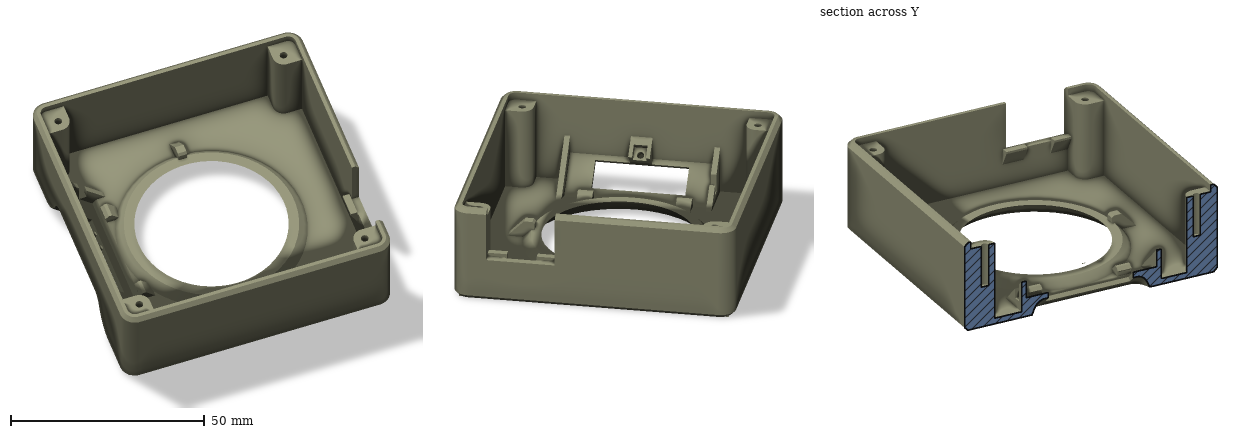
import cadquery as cq
import math

ROOT2 = math.sqrt(2)

SIDE = 74.0
HEIGHT = 25.5
CORNER_RADIUS = 4.0
WALL = 2.0
FLOOR = 1.8
EDGE_CHAMFER = 1.0
HALF = SIDE / 2
INNER = HALF - WALL

POST_INSET = 6.0
POST_RADIUS = 2.95
POST_TOP_DROP = 2.0
SCREW_HOLE_DIAMETER = 2.0
SCREW_HOLE_DEPTH = 11.85
POST_CENTRE = HALF - POST_INSET
POST_FACE = POST_CENTRE - POST_RADIUS
POST_TOP = HEIGHT - POST_TOP_DROP

OPENING_RADIUS = 20.0
RING_TOP_RADIUS = 22.7
RING_TOP = 4.0
RING_FOOT_RADIUS = RING_TOP_RADIUS + RING_TOP - FLOOR

CATCH_WIDTH = 2.4
CATCH_NOSE = 21.9
CATCH_FOOT = 29.1
CATCH_TOP = 6.2
CATCH_CHAMFER = 0.6

NOTCH_LEFT = 10.0
NOTCH_SILL = 11.55
HOOK_TOP_RISE = 1.0
HOOK_SETBACK = 0.3
HOOK_REACH = 2.15
HOOK_NOSE_HEIGHT = 0.6
HOOK_HEIGHT = 4.6
HOOK_SPANS = [(8.95, 15.2), (23.0, POST_FACE)]

RAMP_OUTER = -27.15
RAMP_INNER = -25.45
RAMP_THICKNESS = (RAMP_INNER - RAMP_OUTER) / ROOT2
RAMP_LEFT = -18.9
RAMP_RIGHT = 19.2
RAMP_EDGE_Y = -24.8

BELL_FLAT_HALF = 13.55
BELL_TOP_RADIUS = 3.55
BELL_FLARE_RADIUS = 8.15

WINDOW_WIDTH = 24.7
WINDOW_LOW_Z = 2.15
WINDOW_HIGH_Z = 7.6

RIB_THICKNESS = 1.5
RIB_TOP = -20.65
CABLE_NOTCH_FRONT = -29.7
CABLE_NOTCH_BACK = -27.6

BOARD_HOOK_CENTRE = 13.0
BOARD_HOOK_WIDTH = 4.0
BOARD_HOOK_TOP = 4.3
BOARD_HOOK_FLAT_BACK = -23.4
BOARD_HOOK_FLAT_FRONT = -24.3
BOARD_HOOK_TIP = -25.15

BOSS_CENTRE = 0.3
BOSS_WIDTH = 5.7
BOSS_HEIGHT = 4.3
BOSS_ARM = 1.0
BOSS_CHANNEL_DEPTH = 1.9
BOSS_CHANNEL_LENGTH = 3.55
BOSS_HOLE_DIAMETER = 1.85
BOSS_HOLE_SETBACK = 1.4
BOSS_LENGTH = 7.4


def block(x0, x1, y0, y1, z0, z1):
    return cq.Workplane("XY").box(x1 - x0, y1 - y0, z1 - z0, centered=False).translate((x0, y0, z0))


def prism_along_x(points, x0, x1):
    """Extrude a (y, z) outline from x0 to x1."""
    return cq.Workplane("YZ").polyline(points).close().extrude(x1 - x0).translate((x0, 0, 0))


def revolved(outline):
    """Turn an (r, z) outline about the Z axis."""
    return cq.Workplane("XZ").polyline(outline).close().revolve(360, (0, 0), (0, 1))


def ramp_workplane(level):
    """Plane y + z = level through z = 0: local x is -X, local y climbs the slope."""
    plane = cq.Plane(origin=(0, level, 0), xDir=(-1, 0, 0), normal=(0, 1, 1))
    return cq.Workplane(plane)


def shell():
    body = cq.Workplane("XY").box(SIDE, SIDE, HEIGHT, centered=(True, True, False))
    body = body.edges("|Z").fillet(CORNER_RADIUS)
    body = body.faces(">Z").chamfer(EDGE_CHAMFER)
    body = body.faces("<Z").chamfer(EDGE_CHAMFER)
    cavity = cq.Workplane("XY").box(2 * INNER, 2 * INNER, HEIGHT, centered=(True, True, False))
    cavity = cavity.edges("|Z").fillet(CORNER_RADIUS - WALL)
    return body.cut(cavity.translate((0, 0, FLOOR)))


def corner_posts():
    """Four posts against the wall corners, each rounded on the side facing the middle."""
    buried = INNER + WALL / 4
    posts = cq.Workplane("XY")
    for sign_x in (-1, 1):
        for sign_y in (-1, 1):
            post = block(POST_FACE, buried, POST_FACE, buried, 0, POST_TOP)
            post = post.edges("|Z and <X and <Y").fillet(POST_RADIUS)
            hole = cq.Workplane("XY").center(POST_CENTRE, POST_CENTRE).circle(SCREW_HOLE_DIAMETER / 2)
            hole = hole.extrude(SCREW_HOLE_DEPTH).translate((0, 0, POST_TOP - SCREW_HOLE_DEPTH))
            post = post.cut(hole)
            if sign_x < 0:
                post = post.mirror("YZ")
            if sign_y < 0:
                post = post.mirror("XZ")
            posts = posts.add(post)
    return posts.combine()


def ring():
    """Disc with a 45-degree rim that stands above the floor."""
    return revolved([
        (0, 0),
        (RING_FOOT_RADIUS, 0),
        (RING_FOOT_RADIUS, FLOOR),
        (RING_TOP_RADIUS, RING_TOP),
        (0, RING_TOP),
    ])


def opening():
    """Conical opening, widening at 45 degrees from the top of the ring to the underside."""
    return revolved([(0, 0), (OPENING_RADIUS + RING_TOP, 0), (OPENING_RADIUS, RING_TOP), (0, RING_TOP)])


def ring_catches():
    top_back = CATCH_FOOT - (CATCH_TOP - FLOOR)
    outline = [
        (CATCH_NOSE, RING_TOP),
        (CATCH_NOSE, CATCH_TOP - CATCH_CHAMFER),
        (CATCH_NOSE + CATCH_CHAMFER, CATCH_TOP),
        (top_back, CATCH_TOP),
        (CATCH_FOOT, FLOOR),
        (CATCH_FOOT, FLOOR / 2),
        (RING_FOOT_RADIUS, FLOOR / 2),
    ]
    catch = cq.Workplane("XZ").polyline(outline).close().extrude(CATCH_WIDTH / 2, both=True)
    return catch.union(catch.mirror("YZ"))


def back_notch():
    return block(NOTCH_LEFT, POST_FACE, INNER, HALF, NOTCH_SILL, HEIGHT)


def back_hooks():
    top = NOTCH_SILL + HOOK_TOP_RISE
    buried = INNER + WALL / 2
    outline = [
        (buried, NOTCH_SILL),
        (INNER - HOOK_SETBACK, NOTCH_SILL),
        (INNER - HOOK_SETBACK, top),
        (INNER - HOOK_REACH, top),
        (INNER - HOOK_REACH, top - HOOK_NOSE_HEIGHT),
        (INNER, top - HOOK_HEIGHT),
        (buried, top - HOOK_HEIGHT),
    ]
    hooks = cq.Workplane("XY")
    for x0, x1 in HOOK_SPANS:
        hooks = hooks.add(prism_along_x(outline, x0, x1))
    return hooks.combine()


def ramp_wedge(level, x0, x1):
    """Solid below the plane y + z = level, rooted in the floor and the front wall."""
    buried = INNER + WALL / 2
    outline = [(-buried, FLOOR / 2), (level - FLOOR / 2, FLOOR / 2), (-buried, level + buried)]
    return prism_along_x(outline, x0, x1)


def ramp_pocket():
    """Floor material removed above the ramp's inner plane."""
    depth = (RAMP_EDGE_Y + FLOOR - RAMP_INNER) / 2
    outline = [
        (RAMP_EDGE_Y, FLOOR),
        (RAMP_EDGE_Y - depth, FLOOR - depth),
        (RAMP_INNER - FLOOR, FLOOR),
    ]
    return prism_along_x(outline, RAMP_LEFT, RAMP_RIGHT)


def bell_recess():
    """Bell outline, square to the ramp, swept up the slope and out of the front wall."""
    depth = (RAMP_OUTER + HALF - EDGE_CHAMFER) / ROOT2
    angle = math.acos(1 - depth / (BELL_TOP_RADIUS + BELL_FLARE_RADIUS))

    def on_shoulder(a):
        return BELL_FLAT_HALF + BELL_TOP_RADIUS * math.sin(a), -BELL_TOP_RADIUS * (1 - math.cos(a))

    end_x = BELL_FLAT_HALF + (BELL_TOP_RADIUS + BELL_FLARE_RADIUS) * math.sin(angle)

    def on_flare(a):
        return end_x - BELL_FLARE_RADIUS * math.sin(a), -depth + BELL_FLARE_RADIUS * (1 - math.cos(a))

    slope = cq.Plane(origin=(0, RAMP_OUTER, 0), xDir=(1, 0, 0), normal=(0, -1, 1))
    half_bell = (
        cq.Workplane(slope)
        .lineTo(BELL_FLAT_HALF, 0)
        .threePointArc(on_shoulder(angle / 2), on_shoulder(angle))
        .threePointArc(on_flare(angle / 2), (end_x, -depth))
        .lineTo(0, -depth)
        .close()
        .extrude(HALF, both=True)
    )
    return half_bell.union(half_bell.mirror("YZ"))


def window():
    """Rectangular opening cut square through the ramp."""
    low = WINDOW_LOW_Z * ROOT2
    high = WINDOW_HIGH_Z * ROOT2
    outline = ramp_workplane(RAMP_OUTER).center(0, (low + high) / 2).rect(WINDOW_WIDTH, high - low)
    return outline.extrude(RAMP_THICKNESS)


def ribs():
    outer_left = RAMP_LEFT - RIB_THICKNESS
    left = ramp_wedge(RIB_TOP, outer_left, RAMP_LEFT)
    right = ramp_wedge(RIB_TOP, RAMP_RIGHT, RAMP_RIGHT + RIB_THICKNESS)
    notch_bottom = RAMP_INNER - CABLE_NOTCH_FRONT
    notch = block(outer_left, RAMP_LEFT, CABLE_NOTCH_FRONT, CABLE_NOTCH_BACK, notch_bottom, HEIGHT)
    return left.cut(notch).union(right)


def board_hooks():
    drop = BOARD_HOOK_FLAT_FRONT - BOARD_HOOK_TIP
    tip_z = BOARD_HOOK_TOP - drop
    undercut = RAMP_EDGE_Y - BOARD_HOOK_TIP
    outline = [
        (RAMP_EDGE_Y, FLOOR / 2),
        (RAMP_EDGE_Y, tip_z - undercut),
        (BOARD_HOOK_TIP, tip_z),
        (BOARD_HOOK_FLAT_FRONT, BOARD_HOOK_TOP),
        (BOARD_HOOK_FLAT_BACK, BOARD_HOOK_TOP),
        (BOARD_HOOK_FLAT_BACK + BOARD_HOOK_TOP - FLOOR, FLOOR),
    ]
    inner = BOARD_HOOK_CENTRE - BOARD_HOOK_WIDTH / 2
    hook = prism_along_x(outline, inner, inner + BOARD_HOOK_WIDTH)
    return hook.union(hook.mirror("YZ"))


def screw_boss():
    """Boss rising square to the ramp from the upper edge of the window, channelled for a screw."""
    foot = WINDOW_HIGH_Z * ROOT2
    channel_middle = foot + BOSS_CHANNEL_LENGTH / 2
    channel_width = BOSS_WIDTH - 2 * BOSS_ARM
    channel_floor = RAMP_THICKNESS + BOSS_HEIGHT - BOSS_CHANNEL_DEPTH

    base = ramp_workplane(RAMP_OUTER).workplane(offset=RAMP_THICKNESS / 2)
    base = base.center(0, foot + BOSS_LENGTH / 2)
    boss = base.rect(BOSS_WIDTH, BOSS_LENGTH).extrude(BOSS_HEIGHT + RAMP_THICKNESS / 2)
    channel = ramp_workplane(RAMP_OUTER).workplane(offset=channel_floor).center(0, channel_middle)
    boss = boss.cut(channel.rect(channel_width, BOSS_CHANNEL_LENGTH).extrude(BOSS_CHANNEL_DEPTH))
    hole = ramp_workplane(RAMP_OUTER).workplane(offset=RAMP_THICKNESS).center(0, foot + BOSS_HOLE_SETBACK)
    boss = boss.cut(hole.circle(BOSS_HOLE_DIAMETER / 2).extrude(channel_floor - RAMP_THICKNESS))
    inside = block(-HALF, HALF, -INNER - WALL / 2, 0, 0, HEIGHT)
    return boss.intersect(inside).translate((BOSS_CENTRE, 0, 0))


result = (
    shell()
    .union(corner_posts())
    .union(ring())
    .union(ring_catches())
    .cut(opening())
    .cut(back_notch())
    .union(back_hooks())
    .union(ramp_wedge(RAMP_INNER, RAMP_LEFT, RAMP_RIGHT))
    .cut(ramp_pocket())
    .union(ribs())
    .union(board_hooks())
    .cut(bell_recess())
    .cut(window())
    .union(screw_boss())
)